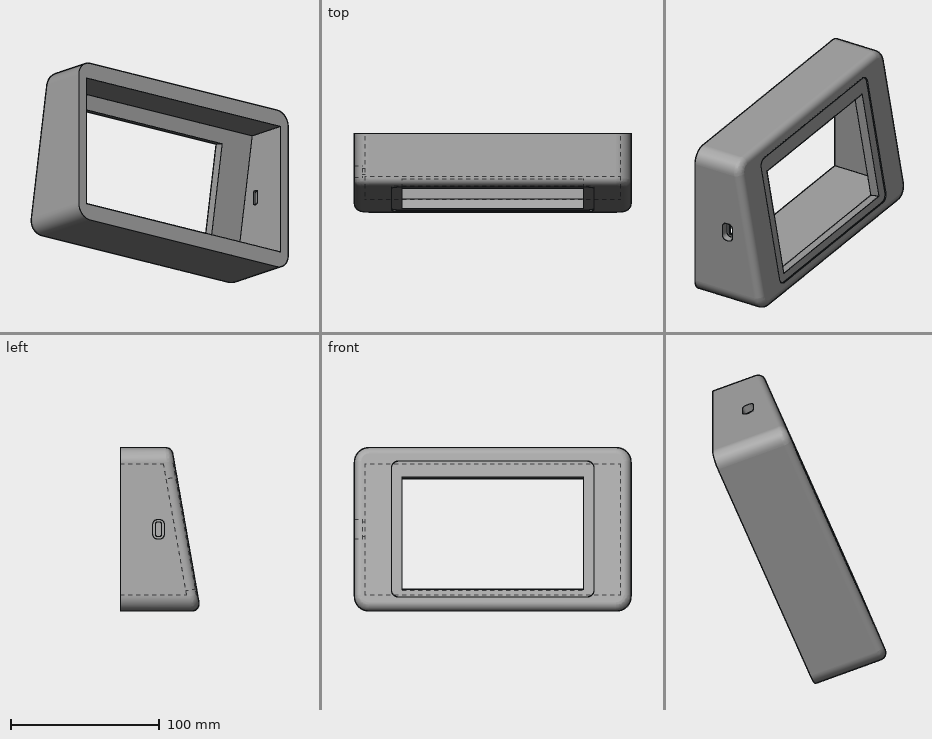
import cadquery as cq
import math

width = 186.0
height = 110.0
base_depth = 54.0
tilt = 10.0
corner_radius = 10.0
front_edge_radius = 5.0

wall = 7.0
floor_thickness = 11.0
front_thickness = 7.5

window_width = 121.6
window_bottom = 15.3
window_height = 76.3
recess_width = 136.2
recess_bottom = 9.7
recess_height = 92.8
recess_depth = 1.0
recess_corner_radius = 5.0

slot_depth_from_back = 25.7
slot_center_height = height / 2
slot_width = 4.0
slot_height = 9.7
slot_corner_radius = 1.3
pocket_width = 7.8
pocket_height = 13.0
pocket_corner_radius = 3.2
pocket_depth = 5.5

lean = math.tan(math.radians(tilt))


def wedge(front_y, bottom, top, half_width):
    """Block from the back plane to a leaning front whose plane meets z = 0 at front_y."""
    profile = [
        (0, bottom),
        (front_y + bottom * lean, bottom),
        (front_y + top * lean, top),
        (0, top),
    ]
    return cq.Workplane("YZ").polyline(profile).close().extrude(half_width, both=True)


def face_block(block_width, bottom, block_height, depth):
    """Block sunk square into the leaning face; bottom and height run along the face."""
    return (
        cq.Workplane("XY")
        .box(block_width, depth, block_height, centered=(True, False, False))
        .translate((0, 0, bottom))
    )


def place_on_face(block):
    """Lean a block back and move it from the origin to the foot of the front face."""
    return block.rotate((0, 0, 0), (1, 0, 0), -tilt).translate((0, -base_depth, 0))


def side_slot(length_y, length_z, rounding, depth):
    """Upright rounded slot cut inward from the -X side."""
    return (
        cq.Workplane("YZ", origin=(-width / 2, -slot_depth_from_back, slot_center_height))
        .rect(length_y, length_z)
        .extrude(depth)
        .edges("|X")
        .fillet(rounding)
    )


body = wedge(-base_depth, 0, height, width / 2)
body = body.edges("|Y").fillet(corner_radius)
body = body.faces("<Y").edges().fillet(front_edge_radius)

cavity_front = -base_depth + front_thickness / math.cos(math.radians(tilt))
cavity = wedge(cavity_front, floor_thickness, height - floor_thickness, width / 2 - wall)
body = body.cut(cavity)

recess = face_block(recess_width, recess_bottom, recess_height, recess_depth)
recess = recess.edges("|Y").fillet(recess_corner_radius)
window = face_block(window_width, window_bottom, window_height, 2 * front_thickness)
body = body.cut(place_on_face(recess)).cut(place_on_face(window))

body = body.cut(side_slot(pocket_width, pocket_height, pocket_corner_radius, pocket_depth))
body = body.cut(side_slot(slot_width, slot_height, slot_corner_radius, 2 * wall))

result = body